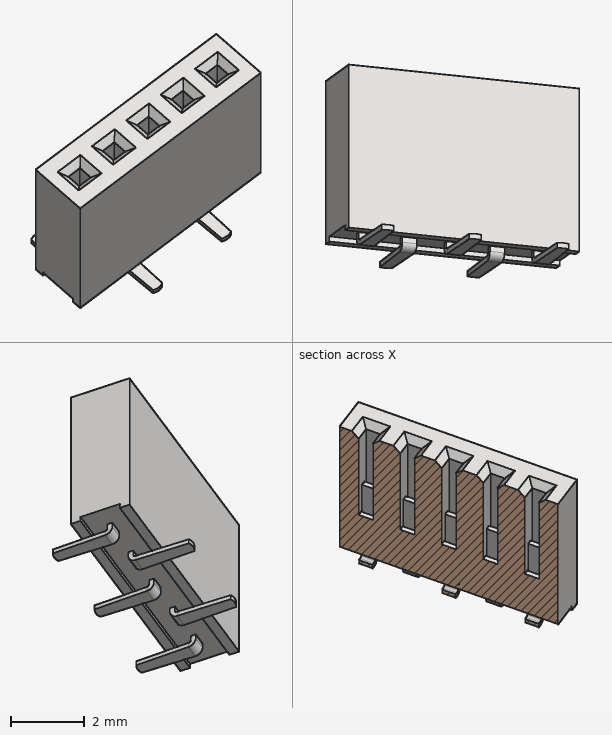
import cadquery as cq

contact_count = 5
pitch = 1.27
overall_length = 6.7
overall_width = 3.58
overall_height = 4.83

housing_width = 1.78
standoff = 0.23
foot_width = 0.295
foot_height = 0.14

funnel_top = 0.845
funnel_bottom = 0.43
funnel_depth = 0.2
socket_depth = 3.015

lead_thickness = 0.15
lead_root_width = 0.42
lead_tip_width = 0.35
lead_tip_bulge = 0.04
bend_inner_radius = 0.075
pin_width = 0.38
pin_height = 1.005

bend_outer_radius = bend_inner_radius + lead_thickness
lead_half_thickness = lead_thickness / 2
bend_end_x = lead_half_thickness + bend_inner_radius
tip_x = overall_width / 2
housing_height = overall_height - standoff
socket_floor_z = overall_height - socket_depth
contact_positions = [(i - (contact_count - 1) / 2) * pitch for i in range(contact_count)]


def make_housing():
    """Rectangular block with a channel along Y between two feet."""
    block = cq.Workplane("XY").workplane(offset=standoff).rect(housing_width, overall_length)
    block = block.extrude(housing_height)
    channel_width = housing_width - 2 * foot_width
    channel = cq.Workplane("XY").workplane(offset=standoff).rect(channel_width, overall_length)
    return block.cut(channel.extrude(foot_height))


def make_socket(y):
    """Blind square hole with a pyramidal lead-in at the top."""
    top = cq.Workplane("XY").workplane(offset=overall_height).center(0, y)
    hole = top.rect(funnel_bottom, funnel_bottom).extrude(-socket_depth)
    funnel = top.rect(funnel_top, funnel_top).workplane(offset=-funnel_depth)
    return hole.union(funnel.rect(funnel_bottom, funnel_bottom).loft(combine=True))


def make_contact(y, side):
    """Pin on a post that bends into a tapered lead along X; side is +1 or -1."""
    profile = (
        cq.Workplane("XZ")
        .moveTo(-lead_half_thickness, socket_floor_z)
        .lineTo(-lead_half_thickness, bend_outer_radius)
        .radiusArc((bend_end_x, 0), -bend_outer_radius)
        .lineTo(tip_x, 0)
        .lineTo(tip_x, lead_thickness)
        .lineTo(bend_end_x, lead_thickness)
        .radiusArc((lead_half_thickness, bend_outer_radius), bend_inner_radius)
        .lineTo(lead_half_thickness, socket_floor_z)
        .close()
    )
    strip = profile.extrude(lead_root_width / 2, both=True)
    tip_corner_x = tip_x - lead_tip_bulge
    outline = (
        cq.Workplane("XY")
        .moveTo(-lead_half_thickness, -lead_root_width / 2)
        .lineTo(bend_end_x, -lead_root_width / 2)
        .lineTo(tip_corner_x, -lead_tip_width / 2)
        .threePointArc((tip_x, 0), (tip_corner_x, lead_tip_width / 2))
        .lineTo(bend_end_x, lead_root_width / 2)
        .lineTo(-lead_half_thickness, lead_root_width / 2)
        .close()
        .extrude(socket_floor_z)
    )
    pin = (
        cq.Workplane("XY")
        .workplane(offset=socket_floor_z)
        .rect(lead_thickness, pin_width)
        .extrude(pin_height)
    )
    contact = strip.intersect(outline).union(pin)
    if side < 0:
        contact = contact.mirror("YZ")
    return contact.translate((0, y, 0))


result = make_housing()
for y in contact_positions:
    result = result.cut(make_socket(y))
for index, y in enumerate(contact_positions):
    side = -1 if index % 2 == 0 else 1
    result = result.union(make_contact(y, side))